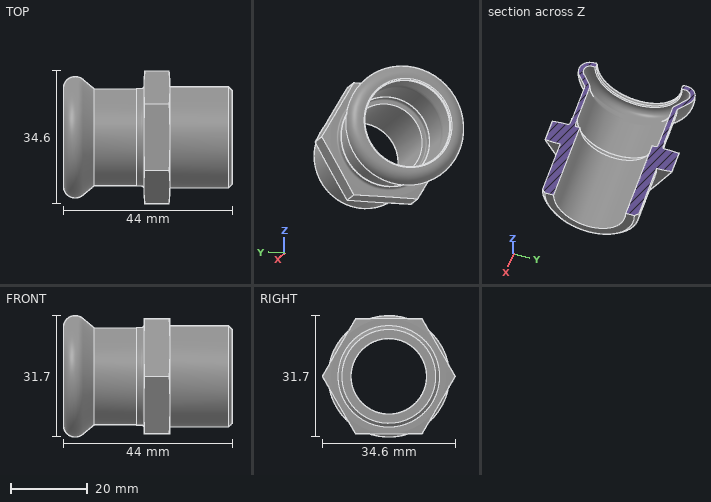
import cadquery as cq
import math

collar_start = 19.0
hex_start = 21.0
hex_width = 6.75
hex_end = hex_start + hex_width
total_length = 44.0

bead_radius = 3.1
bead_centre_radius = 25.5 / 2
bead_cone_angle = math.radians(40)

tube_radius = 25.3 / 2
collar_radius = 25.5 / 2
collar_fillet = 0.6
spigot_radius = 26.44 / 2
spigot_chamfer = 1.0

across_flats = 30.0
across_corners = across_flats / math.cos(math.radians(30))
hex_bevel_angle = math.radians(5)

lip_radius = 23.2 / 2
lip_chamfer = 0.3
socket_radius = 22.5 / 2
wall = tube_radius - socket_radius
seal_groove_radius = bead_radius - wall
groove_exit_fillet = 1.5
body_socket_radius = 22.4 / 2
socket_end = hex_start
socket_end_fillet = 0.5
bore_radius = 19.6 / 2


def turned_body():
    """Outer turned shape without the hexagon, solid inside."""
    bead_end_x = bead_radius * (1 + math.sin(bead_cone_angle))
    bead_end_radius = bead_centre_radius + bead_radius * math.cos(bead_cone_angle)
    cone_end_x = bead_end_x + (bead_end_radius - tube_radius) / math.tan(bead_cone_angle)
    fillet_mid = collar_fillet * math.sqrt(0.5)
    fillet_start_x = hex_start - collar_fillet
    return (
        cq.Workplane("XY")
        .moveTo(0, 0)
        .lineTo(0, bead_centre_radius)
        .threePointArc((bead_radius, bead_centre_radius + bead_radius), (bead_end_x, bead_end_radius))
        .lineTo(cone_end_x, tube_radius)
        .lineTo(collar_start, tube_radius)
        .lineTo(collar_start, collar_radius)
        .lineTo(fillet_start_x, collar_radius)
        .threePointArc(
            (fillet_start_x + fillet_mid, collar_radius + collar_fillet - fillet_mid),
            (hex_start, collar_radius + collar_fillet),
        )
        .lineTo(hex_end, collar_radius + collar_fillet)
        .lineTo(hex_end, spigot_radius)
        .lineTo(total_length - spigot_chamfer, spigot_radius)
        .lineTo(total_length, spigot_radius - spigot_chamfer)
        .lineTo(total_length, 0)
        .close()
        .revolve(360, (0, 0, 0), (1, 0, 0))
    )


def hexagon():
    """Hexagon with corners on the Y axis and lightly bevelled end faces."""
    prism = cq.Workplane("YZ").workplane(offset=hex_start).polygon(6, across_corners).extrude(hex_width)
    flat_radius = across_flats / 2
    corner_radius = across_corners / 2
    setback = (corner_radius - flat_radius) * math.tan(hex_bevel_angle)
    envelope = (
        cq.Workplane("XY")
        .moveTo(hex_start, 0)
        .lineTo(hex_start, flat_radius)
        .lineTo(hex_start + setback, corner_radius)
        .lineTo(hex_end - setback, corner_radius)
        .lineTo(hex_end, flat_radius)
        .lineTo(hex_end, 0)
        .close()
        .revolve(360, (0, 0, 0), (1, 0, 0))
    )
    return prism.intersect(envelope)


def inner_void():
    """Lip chamfered on both edges, seal groove inside the bead, press socket and through bore."""
    sin_cone = math.sin(bead_cone_angle)
    cos_cone = math.cos(bead_cone_angle)
    groove_end_x = bead_radius + seal_groove_radius * sin_cone
    groove_end_radius = bead_centre_radius + seal_groove_radius * cos_cone

    cone_foot_x = groove_end_x + (groove_end_radius - socket_radius) / math.tan(bead_cone_angle)
    blend_length = groove_exit_fillet * math.tan(bead_cone_angle / 2)
    blend_end_x = cone_foot_x + blend_length
    half_angle = bead_cone_angle / 2
    blend_mid = (
        blend_end_x - groove_exit_fillet * math.sin(half_angle),
        socket_radius + groove_exit_fillet * (1 - math.cos(half_angle)),
    )
    blend_start = (cone_foot_x - blend_length * cos_cone, socket_radius + blend_length * sin_cone)

    end_mid = socket_end_fillet * (1 - math.sqrt(0.5))
    return (
        cq.Workplane("XY")
        .moveTo(0, 0)
        .lineTo(0, lip_radius + lip_chamfer)
        .lineTo(lip_chamfer, lip_radius)
        .lineTo(wall - lip_chamfer, lip_radius)
        .lineTo(wall, lip_radius + lip_chamfer)
        .lineTo(wall, bead_centre_radius)
        .threePointArc(
            (bead_radius, bead_centre_radius + seal_groove_radius),
            (groove_end_x, groove_end_radius),
        )
        .lineTo(*blend_start)
        .threePointArc(blend_mid, (blend_end_x, socket_radius))
        .lineTo(collar_start, socket_radius)
        .lineTo(collar_start, body_socket_radius)
        .lineTo(socket_end - socket_end_fillet, body_socket_radius)
        .threePointArc(
            (socket_end - end_mid, body_socket_radius - end_mid),
            (socket_end, body_socket_radius - socket_end_fillet),
        )
        .lineTo(socket_end, bore_radius)
        .lineTo(total_length, bore_radius)
        .lineTo(total_length, 0)
        .close()
        .revolve(360, (0, 0, 0), (1, 0, 0))
    )


result = turned_body().union(hexagon()).cut(inner_void())